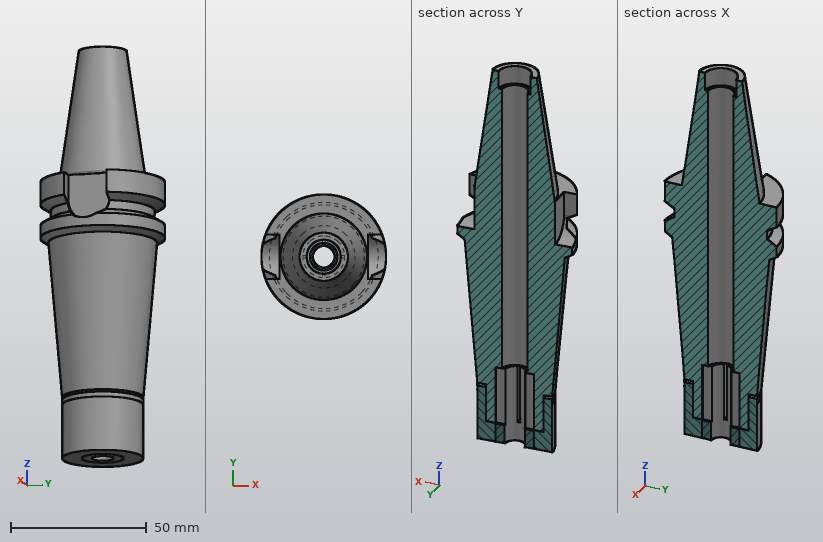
import cadquery as cq

TOTAL_HEIGHT = 153.4

TAPER_TOP_RADIUS = 8.9
TAPER_BASE_RADIUS = 16.0
TAPER_BASE_Z = 105.0

FLANGE_RADIUS = 23
FLANGE_TOP_Z = 104.0
GROOVE_RADIUS = 19.2
GROOVE_CENTER_Z = 91.6
GROOVE_MOUTH_WIDTH = 8.0
GROOVE_FLOOR_WIDTH = 3.4
FLANGE_LOWER_EDGE_Z = 83.0
FLANGE_BOTTOM_Z = 81.1

SLOT_WIDTH = 16.3
SLOT_FLOOR_X = 16.3
SLOT_BOTTOM_Z = 86.2

BODY_TOP_RADIUS = 20.1
BODY_BOTTOM_RADIUS = 15.0
BODY_BOTTOM_Z = 22.9
NOSE_RADIUS = 11.5
NOSE_BOTTOM_Z = 7.7

COUNTERBORE_RADIUS = 6.3
COUNTERBORE_DEPTH = 7.2
BORE_RADIUS = 5.0

NUT_HEIGHT = 22.0
NUT_COLLAR_HEIGHT = 1.8
NUT_COLLAR_RADIUS = 15.0
NUT_COLLAR_STEP = 0.08
NUT_RADIUS = NUT_COLLAR_RADIUS - NUT_COLLAR_STEP

COLLET_RADIUS = 7.7
COLLET_LENGTH = 30.7
COLLET_BORE_RADIUS = 4.0
SLIT_WIDTH = 1.0
SLIT_DEPTH = 23


def cylinder(radius, bottom_z, top_z):
    """Solid cylinder about the Z axis between two heights."""
    return cq.Workplane("XY").workplane(offset=bottom_z).circle(radius).extrude(top_z - bottom_z)


def holder_blank():
    """Outside of the holder, turned about the Z axis."""
    mouth_half = GROOVE_MOUTH_WIDTH / 2
    floor_half = GROOVE_FLOOR_WIDTH / 2
    profile = [
        (0, NOSE_BOTTOM_Z),
        (NOSE_RADIUS, NOSE_BOTTOM_Z),
        (NOSE_RADIUS, BODY_BOTTOM_Z),
        (BODY_BOTTOM_RADIUS, BODY_BOTTOM_Z),
        (BODY_TOP_RADIUS, FLANGE_BOTTOM_Z),
        (FLANGE_RADIUS, FLANGE_LOWER_EDGE_Z),
        (FLANGE_RADIUS, GROOVE_CENTER_Z - mouth_half),
        (GROOVE_RADIUS, GROOVE_CENTER_Z - floor_half),
        (GROOVE_RADIUS, GROOVE_CENTER_Z + floor_half),
        (FLANGE_RADIUS, GROOVE_CENTER_Z + mouth_half),
        (FLANGE_RADIUS, FLANGE_TOP_Z),
        (TAPER_BASE_RADIUS, FLANGE_TOP_Z),
        (TAPER_BASE_RADIUS, TAPER_BASE_Z),
        (TAPER_TOP_RADIUS, TOTAL_HEIGHT),
        (0, TOTAL_HEIGHT),
    ]
    return cq.Workplane("XZ").polyline(profile).close().revolve(360, (0, 0, 0), (0, 1, 0))


def drive_slot(side):
    """Cutter for a round-bottomed drive slot; side is +1 or -1 along X."""
    half_width = SLOT_WIDTH / 2
    arc_center_z = SLOT_BOTTOM_Z + half_width
    return (
        cq.Workplane("YZ")
        .workplane(offset=side * SLOT_FLOOR_X)
        .moveTo(-half_width, FLANGE_TOP_Z)
        .lineTo(-half_width, arc_center_z)
        .threePointArc((0, SLOT_BOTTOM_Z), (half_width, arc_center_z))
        .lineTo(half_width, FLANGE_TOP_Z)
        .close()
        .extrude(side * FLANGE_RADIUS)
    )


def make_holder():
    """Taper shank, flange, body and nose with the stepped bore and collet seat."""
    holder = holder_blank()
    for side in (-1, 1):
        holder = holder.cut(drive_slot(side))
    counterbore = cylinder(COUNTERBORE_RADIUS, TOTAL_HEIGHT - COUNTERBORE_DEPTH, TOTAL_HEIGHT)
    bore = cylinder(BORE_RADIUS, COLLET_LENGTH, TOTAL_HEIGHT)
    collet_seat = cylinder(COLLET_RADIUS, 0, COLLET_LENGTH)
    return holder.cut(counterbore).cut(bore).cut(collet_seat)


def make_nut():
    """Clamping nut that fits over the nose and around the front of the collet."""
    collar_bottom_z = NUT_HEIGHT - NUT_COLLAR_HEIGHT
    nut = cylinder(NUT_RADIUS, 0, collar_bottom_z)
    nut = nut.union(cylinder(NUT_COLLAR_RADIUS, collar_bottom_z, NUT_HEIGHT))
    nose_recess = cylinder(NOSE_RADIUS, NOSE_BOTTOM_Z, NUT_HEIGHT)
    collet_hole = cylinder(COLLET_RADIUS, 0, NOSE_BOTTOM_Z)
    return nut.cut(nose_recess).cut(collet_hole)


def make_collet():
    """Bored sleeve with two crossed slits cut down from its inner end."""
    collet = cylinder(COLLET_RADIUS, 0, COLLET_LENGTH)
    collet = collet.cut(cylinder(COLLET_BORE_RADIUS, 0, COLLET_LENGTH))
    slit = (
        cq.Workplane("XY")
        .workplane(offset=COLLET_LENGTH - SLIT_DEPTH)
        .rect(2 * COLLET_RADIUS, SLIT_WIDTH)
        .extrude(SLIT_DEPTH)
    )
    for angle in (0, 90):
        collet = collet.cut(slit.rotate((0, 0, 0), (0, 0, 1), angle))
    return collet


holder = make_holder()
nut = make_nut()
collet = make_collet()

result = cq.Compound.makeCompound([holder.val(), nut.val(), collet.val()])